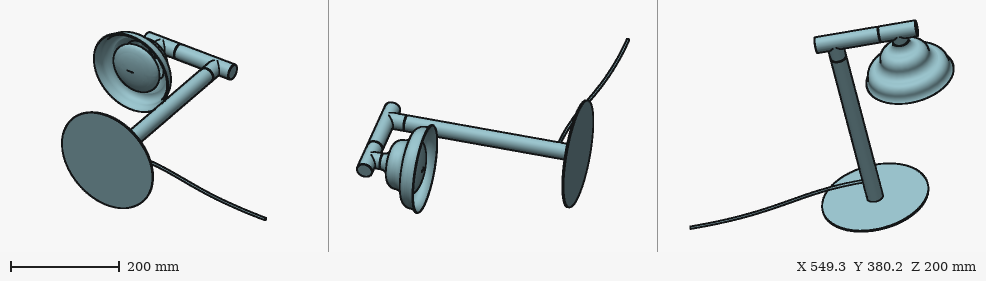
import cadquery as cq
import math


overall_height = 380.21
base_radius = 100.0
base_thickness = 3.0
tube_radius = 15.0
tube_chamfer = 1.0
arm_overhang = 35.0
post_joint_drop = 35.0
shade_joint_drop = 23.5
shade_x = -120.0

arm_y = overall_height - tube_radius
arm_split_x = shade_x + arm_overhang
post_top_y = arm_y - post_joint_drop
shade_top_y = arm_y - shade_joint_drop

shade_wall = 2.0
neck_flare = 16.0
upper_bell_radius = 46.0
upper_bell_drop = 34.5
step_radius = 59.2
step_drop = 51.4
lower_bell_radius = 76.5
lower_bell_drop = 68.5
rim_radius = 82.5
rim_drop = 81.5

bulb_radius = 50.0
bulb_half_depth = 16.0
bulb_drop = 63.5

cord_radius = 2.5
cord_start_y = 42.5
cord_end_x = 346.76
cord_end_y = 4.3
cord_start_share = 0.38
cord_end_share = 0.52


def rod(radius, start, direction, length):
    """Round rod from a start point along a direction."""
    return cq.Workplane(cq.Solid.makeCylinder(radius, length, cq.Vector(*start), cq.Vector(*direction)))


def branch_fitting(left_x, right_x, branch_x, branch_drop):
    """Arm piece with a branch of the same diameter running towards the base, all ends chamfered."""
    arm = rod(tube_radius, (left_x, arm_y, 0), (1, 0, 0), right_x - left_x)
    arm = arm.faces("<X or >X").chamfer(tube_chamfer)
    branch = rod(tube_radius, (branch_x, arm_y, 0), (0, -1, 0), branch_drop)
    branch = branch.faces("<Y").chamfer(tube_chamfer)
    return arm.union(branch)


def point_towards(center, radius, target):
    """Point on a circle in the direction of the target."""
    scale = radius / math.dist(center, target)
    return (center[0] + (target[0] - center[0]) * scale, center[1] + (target[1] - center[1]) * scale)


def upright_arc_center(upright, end):
    """Centre of the arc that stands upright (parallel to the axis) at one point and passes the end."""
    run = end[0] - upright[0]
    height = end[1] - upright[1]
    return (upright[0] + (run**2 + height**2) / (2 * run), upright[1])


def nearest_crossing(center_a, radius_a, center_b, radius_b, target):
    """The crossing of two circles that lies nearest to the target."""
    span = math.dist(center_a, center_b)
    along = (span**2 + radius_a**2 - radius_b**2) / (2 * span)
    across = math.sqrt(radius_a**2 - along**2)
    unit_x = (center_b[0] - center_a[0]) / span
    unit_y = (center_b[1] - center_a[1]) / span
    foot_x = center_a[0] + along * unit_x
    foot_y = center_a[1] + along * unit_y
    crossings = [(foot_x - side * unit_y, foot_y + side * unit_x) for side in (across, -across)]
    return min(crossings, key=lambda crossing: math.dist(crossing, target))


def wall_arcs(inset):
    """Arcs down the shade wall as (centre, radius, start, end), set in from its outer surface."""
    neck_crease = (tube_radius + neck_flare, -neck_flare)
    upper_widest = (upper_bell_radius, -upper_bell_drop)
    step_crease = (step_radius, -step_drop)
    lower_widest = (lower_bell_radius, -lower_bell_drop)
    rim = (rim_radius, -rim_drop)
    arcs = []

    top = (tube_radius, 0)
    for crease, widest in ((neck_crease, upper_widest), (step_crease, lower_widest)):
        hollow = upright_arc_center(top, crease)
        shoulder = upright_arc_center(widest, crease)
        hollow_radius = hollow[0] - top[0] + inset
        shoulder_radius = widest[0] - shoulder[0] - inset
        inset_crease = nearest_crossing(hollow, hollow_radius, shoulder, shoulder_radius, crease)
        arcs.append((hollow, hollow_radius, (top[0] - inset, top[1]), inset_crease))
        arcs.append((shoulder, shoulder_radius, inset_crease, (widest[0] - inset, widest[1])))
        top = widest

    flare = upright_arc_center(top, rim)
    flare_radius = flare[0] - top[0] + inset
    arcs.append((flare, flare_radius, (top[0] - inset, top[1]), point_towards(flare, flare_radius, rim)))
    return arcs


def add_arc(outline, center, radius, start, end):
    """Extend the outline by the short arc from start to end."""
    chord_middle = ((start[0] + end[0]) / 2, (start[1] + end[1]) / 2)
    return outline.threePointArc(point_towards(center, radius, chord_middle), end)


def make_shade():
    """Bell-shaped shell of even wall, open at the neck and at the rim."""
    inner_arcs = wall_arcs(shade_wall)
    outline = cq.Workplane("XY").moveTo(tube_radius, 0)
    for center, radius, start, end in wall_arcs(0):
        outline = add_arc(outline, center, radius, start, end)
    inner_rim = inner_arcs[-1][3]
    outline = outline.lineTo(*inner_rim)
    for center, radius, start, end in reversed(inner_arcs):
        outline = add_arc(outline, center, radius, end, start)
    shell = outline.close().revolve(360, (0, 0, 0), (0, 1, 0))
    return shell.translate((shade_x, shade_top_y, 0))


def make_bulb():
    """Flattened round bulb, an ellipse revolved about the shade axis."""
    half_outline = cq.Workplane("XY").ellipseArc(bulb_radius, bulb_half_depth, 90, 270, startAtCurrent=False)
    lens = half_outline.close().revolve(360, (0, 0, 0), (0, 1, 0))
    return lens.translate((shade_x, shade_top_y - bulb_drop, 0))


def make_cord():
    """Round cord that leaves the post level and runs in an S-curve to a level free end."""
    run = cord_end_x - tube_radius
    fall = cord_end_y - cord_start_y
    path = (
        cq.Workplane("XY", origin=(0, cord_start_y, 0))
        .lineTo(tube_radius, 0)
        .bezier(
            [
                (tube_radius, 0),
                (tube_radius + cord_start_share * run, 0),
                (cord_end_x - cord_end_share * run, fall),
                (cord_end_x, fall),
            ]
        )
    )
    cord_body = cq.Workplane("YZ", origin=(0, cord_start_y, 0)).circle(cord_radius).sweep(path)
    post_space = rod(tube_radius, (0, 0, 0), (0, 1, 0), post_top_y)
    return cord_body.cut(post_space)


base = rod(base_radius, (0, 0, 0), (0, 1, 0), base_thickness)

post = rod(tube_radius, (0, base_thickness, 0), (0, 1, 0), post_top_y - base_thickness)
post = post.faces(">Y").chamfer(tube_chamfer)

post_fitting = branch_fitting(arm_split_x, arm_overhang, 0, post_joint_drop)
shade_fitting = branch_fitting(shade_x - arm_overhang, arm_split_x, shade_x, shade_joint_drop)
shade = make_shade()
bulb = make_bulb()
cord = make_cord()

result = cq.Compound.makeCompound(
    [
        base.val(),
        post.val(),
        post_fitting.val(),
        shade_fitting.val(),
        shade.val(),
        bulb.val(),
        cord.val(),
    ]
)